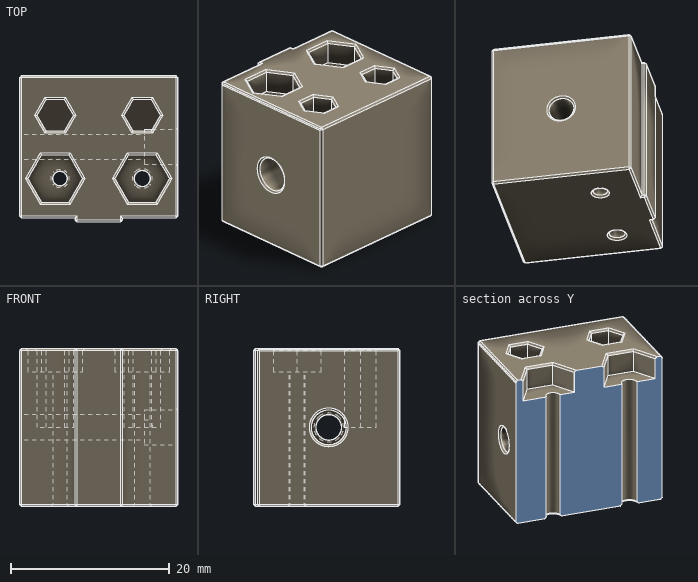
import cadquery as cq
import math

width = 20.0
depth = 18.0
height = 20.0
rib_width = 6.0
rib_depth = 0.5
top_z = height / 2

chamfer_size = rib_depth / 2
second_bevel = 0.1

pocket_x = 5.5
pocket_y = 4.0
large_flats = 6.0
large_depth = 3.0
small_flats = 4.0
small_depth = height / 2
hex_sides = 6
corners_per_flats = 1 / math.cos(math.pi / hex_sides)

vertical_holes = [(-4.9, 1.8), (pocket_x, 2.0)]
vertical_hole_length = height - large_depth

bore_diameter = 3.2
counterbore_diameter = 4.4
counterbore_depth = 4.2


def make_body():
    """Return the ribbed block with all its outer convex edges chamfered."""
    half_width = width / 2
    half_depth = depth / 2
    half_rib = rib_width / 2
    rib_y = -half_depth - rib_depth
    outline = [
        (-half_width, half_depth),
        (-half_width, -half_depth),
        (-half_rib, -half_depth),
        (-half_rib, rib_y),
        (half_rib, rib_y),
        (half_rib, -half_depth),
        (half_width, -half_depth),
        (half_width, half_depth),
    ]
    body = cq.Workplane("XY").workplane(offset=-top_z).polyline(outline).close().extrude(height)
    outer_corners = body.edges("|Z and (<X or >X)")
    rib_corners = body.edges("|Z and <Y")
    end_edges = body.faces("<Z or >Z").edges()
    body = end_edges.add(outer_corners).add(rib_corners).chamfer(chamfer_size)

    upper_side_edges = body.faces("<X or >X").edges("|Y").edges(">Z")
    return upper_side_edges.chamfer(second_bevel)


def hex_pocket(x, y, flats, pocket_depth):
    """Return a cutter for a hexagonal pocket with a chamfered mouth."""
    corners = flats * corners_per_flats
    mouth_corners = (flats + 2 * chamfer_size) * corners_per_flats
    top_plane = cq.Workplane("XY").workplane(offset=top_z).center(x, y)
    pocket = top_plane.polygon(hex_sides, corners).extrude(-pocket_depth)
    mouth = (
        top_plane.polygon(hex_sides, mouth_corners)
        .workplane(offset=-chamfer_size)
        .polygon(hex_sides, corners)
        .loft(ruled=True)
    )
    return pocket.union(mouth)


def bore(start, direction, diameter, length):
    """Return a cylindrical cutter whose mouth at the start point is chamfered."""
    start_point = cq.Vector(*start)
    axis = cq.Vector(*direction)
    radius = diameter / 2
    cylinder = cq.Solid.makeCylinder(radius, length, start_point, axis)
    mouth = cq.Solid.makeCone(radius + chamfer_size, radius, chamfer_size, start_point, axis)
    return cq.Workplane(cylinder).union(cq.Workplane(mouth))


result = make_body()

for x in (-pocket_x, pocket_x):
    result = result.cut(hex_pocket(x, -pocket_y, large_flats, large_depth))
    result = result.cut(hex_pocket(x, pocket_y, small_flats, small_depth))

for x, diameter in vertical_holes:
    result = result.cut(bore((x, -pocket_y, -top_z), (0, 0, 1), diameter, vertical_hole_length))

result = result.cut(bore((-width / 2, 0, 0), (1, 0, 0), bore_diameter, width))
result = result.cut(bore((width / 2, 0, 0), (-1, 0, 0), counterbore_diameter, counterbore_depth))